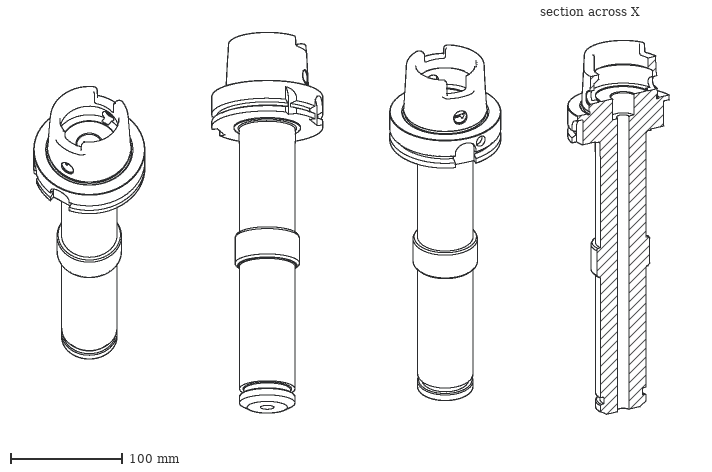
import cadquery as cq
import math


taper_length = 50.0
taper_base_radius = 37.5
taper_rate = 0.05
rim_fillet = 2.0
relief_height = 2.0
relief_radius = 36.5
relief_depth = 1.0
relief_outer_radius = 39.2

bore_radius = 53.0 / 2
bore_depth = 20.0
clamp_radius = 63.0 / 2
clamp_shoulder_angle = 60.0
clamp_floor_z = 9.8
recess_radius = 50.0 / 2
recess_depth = 1.0
tube_seat_mouth_radius = 24.0 / 2
tube_seat_radius = 22.38 / 2
tube_seat_depth = 20.0
coolant_radius = 12.0 / 2

drive_slot_width = 20.0
drive_slot_mouth_radius = 4.0
drive_slot_floor_radius = 2.0
front_slot_depth = 10.0
back_slot_depth = 15.0
edge_tolerance = 0.1

cross_hole_radius = 12.0 / 2
cross_hole_chamfer = 1.0
cross_hole_z = 14.6

flange_radius = 50.0
flange_length = 29.0
flange_edge_chamfer = 0.5
groove_top_z = -17.0
groove_bottom_z = -24.0
groove_depth = 4.5
groove_floor_width = 3.0
flange_hub_radius = 30.0
flange_hub_length = 1.0

grip_slot_width = 20.0
grip_slot_top_z = -5.0
grip_slot_floor = 44.0
corner_notch_offset = 31.3

chip_radius = 10.0 / 2
chip_depth = 4.6
chip_z = -7.7
chip_angle = 18.0

neck_radius = 50.5 / 2
neck_root_radius = 52.6 / 2
neck_end_z = -43.4
neck_end_chamfer = 1.0
arbor_radius = 50.0 / 2
arbor_end_z = -274.7
root_chamfer = 0.8
collar_radius = 58.0 / 2
collar_top_z = -131.0
collar_bottom_z = -159.0
collar_top_chamfer_width = 1.0
collar_top_chamfer_height = 2.0
collar_bottom_chamfer = 2.2
tip_groove_radius = 42.0 / 2
tip_top_z = -281.0
tip_cone_z = -288.0
tip_end_z = -292.0
tip_edge_chamfer = 1.0
tip_cone_angle = 60.0


def taper_radius(z):
    return taper_base_radius - taper_rate * z


def outer_body():
    flank_rise = (groove_top_z - groove_bottom_z - groove_floor_width) / 2
    groove_root = flange_radius - groove_depth
    tip_end_radius = arbor_radius - (tip_cone_z - tip_end_z) * math.tan(math.radians(tip_cone_angle))
    hub_end_z = -flange_length - flange_hub_length
    outline = [
        (0, taper_length),
        (taper_radius(taper_length), taper_length),
        (taper_radius(relief_height), relief_height),
        (relief_radius, relief_height - (taper_radius(relief_height) - relief_radius)),
        (relief_radius, -relief_depth),
        (relief_outer_radius - relief_depth, -relief_depth),
        (relief_outer_radius, 0),
        (flange_radius - flange_edge_chamfer, 0),
        (flange_radius, -flange_edge_chamfer),
        (flange_radius, groove_top_z),
        (groove_root, groove_top_z - flank_rise),
        (groove_root, groove_bottom_z + flank_rise),
        (flange_radius, groove_bottom_z),
        (flange_radius, -flange_length),
        (flange_hub_radius, -flange_length),
        (flange_hub_radius, hub_end_z),
        (neck_root_radius, hub_end_z),
        (neck_radius, hub_end_z - (neck_root_radius - neck_radius)),
        (neck_radius, neck_end_z),
        (arbor_radius, neck_end_z - neck_end_chamfer),
        (arbor_radius, collar_top_z),
        (collar_radius - collar_top_chamfer_width, collar_top_z),
        (collar_radius, collar_top_z - collar_top_chamfer_height),
        (collar_radius, collar_bottom_z + collar_bottom_chamfer),
        (collar_radius - collar_bottom_chamfer, collar_bottom_z),
        (arbor_radius + root_chamfer, collar_bottom_z),
        (arbor_radius, collar_bottom_z - root_chamfer),
        (arbor_radius, arbor_end_z),
        (tip_groove_radius + root_chamfer, arbor_end_z),
        (tip_groove_radius, arbor_end_z - root_chamfer),
        (tip_groove_radius, tip_top_z),
        (arbor_radius - tip_edge_chamfer, tip_top_z),
        (arbor_radius, tip_top_z - tip_edge_chamfer),
        (arbor_radius, tip_cone_z),
        (tip_end_radius, tip_end_z),
        (0, tip_end_z),
    ]
    return cq.Workplane("XZ").polyline(outline).close().revolve(360, (0, 0, 0), (0, 1, 0))


def bore():
    shoulder_top_z = taper_length - bore_depth
    shoulder_rise = (clamp_radius - bore_radius) / math.tan(math.radians(clamp_shoulder_angle))
    recess_z = clamp_floor_z - recess_depth
    tube_seat_chamfer = tube_seat_mouth_radius - tube_seat_radius
    tube_seat_z = recess_z - tube_seat_depth
    outline = [
        (0, taper_length),
        (bore_radius, taper_length),
        (bore_radius, shoulder_top_z),
        (clamp_radius, shoulder_top_z - shoulder_rise),
        (clamp_radius, clamp_floor_z),
        (recess_radius, clamp_floor_z),
        (recess_radius, recess_z),
        (tube_seat_mouth_radius, recess_z),
        (tube_seat_radius, recess_z - tube_seat_chamfer),
        (tube_seat_radius, tube_seat_z),
        (coolant_radius, tube_seat_z),
        (coolant_radius, tip_end_z),
        (0, tip_end_z),
    ]
    return cq.Workplane("XZ").polyline(outline).close().revolve(360, (0, 0, 0), (0, 1, 0))


def drive_slot(side, depth):
    reach = flange_radius
    return (
        cq.Workplane("XY")
        .box(drive_slot_width, reach, depth, centered=(True, True, False))
        .translate((0, side * reach / 2, taper_length - depth))
    )


def drive_slot_mouth_edges(body):
    """The upright edges where the drive slot walls meet the outside of the taper."""

    def at_mouth(edge):
        center = edge.Center()
        on_wall = abs(abs(center.x) - drive_slot_width / 2) < edge_tolerance
        outside = math.hypot(center.x, center.y) > (bore_radius + taper_base_radius) / 2
        in_slot = center.z > taper_length - back_slot_depth + edge_tolerance
        upright = edge.BoundingBox().zlen > front_slot_depth / 2
        return on_wall and outside and in_slot and upright

    return body.newObject([edge for edge in body.edges().vals() if at_mouth(edge)])


def drive_slot_floor_edges(body):
    """The straight edges between the drive slot walls and floors."""
    floors = [taper_length - front_slot_depth, taper_length - back_slot_depth]

    def at_floor(edge):
        box = edge.BoundingBox()
        on_wall = abs(abs(edge.Center().x) - drive_slot_width / 2) < edge_tolerance
        on_floor = min(abs(edge.Center().z - z) for z in floors) < edge_tolerance
        return on_wall and on_floor and box.xlen < edge_tolerance and box.zlen < edge_tolerance

    return body.newObject([edge for edge in body.edges().vals() if at_floor(edge)])


def cross_hole(side):
    """Countersunk hole through the taper wall into the undercut."""
    wall = taper_radius(cross_hole_z)
    start = cq.Vector(0, side * bore_radius, cross_hole_z)
    length = taper_base_radius - bore_radius
    drill = cq.Solid.makeCylinder(cross_hole_radius, length, start, cq.Vector(0, side, 0))
    countersink = cq.Solid.makeCone(
        cross_hole_radius + cross_hole_chamfer,
        cross_hole_radius,
        cross_hole_chamfer,
        cq.Vector(0, side * wall, cross_hole_z),
        cq.Vector(0, -side, 0),
    )
    return cq.Workplane(obj=drill).union(cq.Workplane(obj=countersink))


def grip_slot(center_x, side, floor):
    """Slot with a round upper end, open at the flange underside and outwards along Y."""
    radius = grip_slot_width / 2
    arc_z = grip_slot_top_z - radius
    return (
        cq.Workplane("XZ")
        .moveTo(center_x - radius, -flange_length)
        .lineTo(center_x - radius, arc_z)
        .threePointArc((center_x, grip_slot_top_z), (center_x + radius, arc_z))
        .lineTo(center_x + radius, -flange_length)
        .close()
        .extrude(-side * flange_radius)
        .translate((0, side * floor, 0))
    )


def chip_hole():
    angle = math.radians(chip_angle)
    outward = cq.Vector(-math.sin(angle), math.cos(angle), 0)
    start = outward * (flange_radius - chip_depth) + cq.Vector(0, 0, chip_z)
    return cq.Workplane(obj=cq.Solid.makeCylinder(chip_radius, 2 * chip_depth, start, outward))


result = outer_body().cut(bore())
for side, depth in ((-1, front_slot_depth), (1, back_slot_depth)):
    result = result.cut(drive_slot(side, depth))
result = drive_slot_mouth_edges(result).fillet(drive_slot_mouth_radius)
result = drive_slot_floor_edges(result).fillet(drive_slot_floor_radius)
result = result.faces(">Z").fillet(rim_fillet)
for side in (-1, 1):
    result = result.cut(cross_hole(side))
    result = result.cut(grip_slot(0, side, grip_slot_floor))
result = result.cut(grip_slot(-corner_notch_offset - grip_slot_width / 2, -1, corner_notch_offset))
result = result.cut(chip_hole())